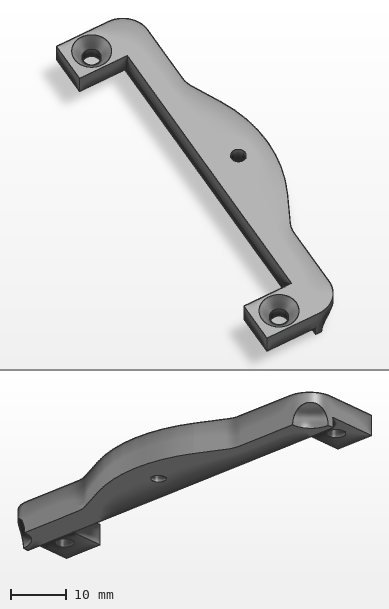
import cadquery as cq
import math

length = 74.4
height = 6.0
depth = 21.95
bar_back = 15.9
corner_radius = 5.1

leg_width = 8.2
leg_length = 9.9
leg_underside = 2.0
rail_front = 10.1

crown_radius = 26.8
crown_root_radius = 5.0
flank_angle = math.radians(26)

center_hole_diameter = 2.75
center_hole_y = bar_back
screw_hole_diameter = 3.4
countersink_diameter = 7.15
countersink_angle = 90
screw_inset = leg_width / 2
screw_y = 4.9

relief_radius = 4.55


def crown_points():
    """Return the left root arc and flank points of the crown, from the bar upward."""
    sine = math.sin(flank_angle)
    cosine = math.cos(flank_angle)
    arc_rise = (crown_radius + crown_root_radius) * (1 - cosine)
    flank_run = (depth - bar_back - arc_rise) / math.tan(flank_angle)
    flank_end = (-crown_radius * sine, depth - crown_radius * (1 - cosine))
    flank_start_x = flank_end[0] - flank_run
    flank_start = (flank_start_x, bar_back + crown_root_radius * (1 - cosine))
    root = (flank_start_x - crown_root_radius * sine, bar_back)
    half_sine = math.sin(flank_angle / 2)
    half_rise = 1 - math.cos(flank_angle / 2)
    root_middle = (root[0] + crown_root_radius * half_sine, bar_back + crown_root_radius * half_rise)
    return root, root_middle, flank_start, flank_end


def mirrored(point):
    return (-point[0], point[1])


def make_outline():
    """Return the closed plan outline of the bar, crown and legs."""
    half = length / 2
    inner = half - leg_width
    root, root_middle, flank_start, flank_end = crown_points()
    corner_cut = corner_radius * (1 - math.sqrt(0.5))
    corner_start = (-half, bar_back - corner_radius)
    corner_middle = (-half + corner_cut, bar_back - corner_cut)
    corner_end = (-half + corner_radius, bar_back)
    return (
        cq.Workplane("XY")
        .moveTo(-half, 0)
        .lineTo(*corner_start)
        .threePointArc(corner_middle, corner_end)
        .lineTo(*root)
        .threePointArc(root_middle, flank_start)
        .lineTo(*flank_end)
        .threePointArc((0, depth), mirrored(flank_end))
        .lineTo(*mirrored(flank_start))
        .threePointArc(mirrored(root_middle), mirrored(root))
        .lineTo(*mirrored(corner_end))
        .threePointArc(mirrored(corner_middle), mirrored(corner_start))
        .lineTo(half, 0)
        .lineTo(inner, 0)
        .lineTo(inner, leg_length)
        .lineTo(-inner, leg_length)
        .lineTo(-inner, 0)
        .close()
    )


def make_leg_clearance():
    """Return the space below the legs, in front of the lower rail."""
    return cq.Workplane("XY").box(length, rail_front, leg_underside, centered=(True, False, False))


def make_corner_relief(side):
    return cq.Workplane("XY").sphere(relief_radius).translate((side * length / 2, bar_back, 0))


body = make_outline().extrude(height).cut(make_leg_clearance())
for side in (-1, 1):
    body = body.cut(make_corner_relief(side))

screw_x = length / 2 - screw_inset
top = body.faces(">Z").workplane(origin=(0, 0, height))
body = top.pushPoints([(-screw_x, screw_y), (screw_x, screw_y)]).cskHole(
    screw_hole_diameter, countersink_diameter, countersink_angle
)
top = body.faces(">Z").workplane(origin=(0, 0, height))
result = top.center(0, center_hole_y).hole(center_hole_diameter)